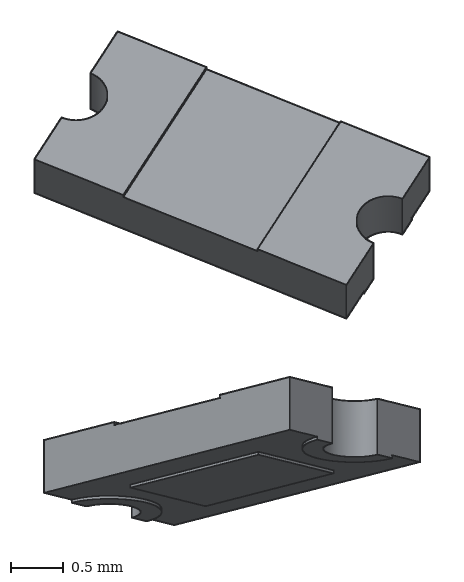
import cadquery as cq

length = 3.34
width = 1.74
height = 0.55

layer_thickness = 0.03
top_land_length = 0.952
end_pad_radius = 0.5
centre_pad_length = 1.74
centre_pad_width = 2 * end_pad_radius
notch_radius = 0.3

end_centers = [(-length / 2, 0), (length / 2, 0)]
body_top = height - layer_thickness


def block(size_x, size_y, bottom, top, center_x=0):
    """Box centred on the X axis between two heights."""
    base = cq.Workplane("XY").workplane(offset=bottom).center(center_x, 0)
    return base.rect(size_x, size_y).extrude(top - bottom)


def end_cylinders(radius, top):
    """Cylinders standing on Z = 0, centred on the two end faces."""
    return cq.Workplane("XY").pushPoints(end_centers).circle(radius).extrude(top)


body = block(length, width, layer_thickness, body_top)

land_center = (length - top_land_length) / 2
for side in (-1, 1):
    body = body.union(block(top_land_length, width, body_top, height, side * land_center))

body = body.union(block(centre_pad_length, centre_pad_width, 0, layer_thickness))

envelope = block(length, width, 0, height)
body = body.union(end_cylinders(end_pad_radius, layer_thickness).intersect(envelope))

result = body.cut(end_cylinders(notch_radius, height))